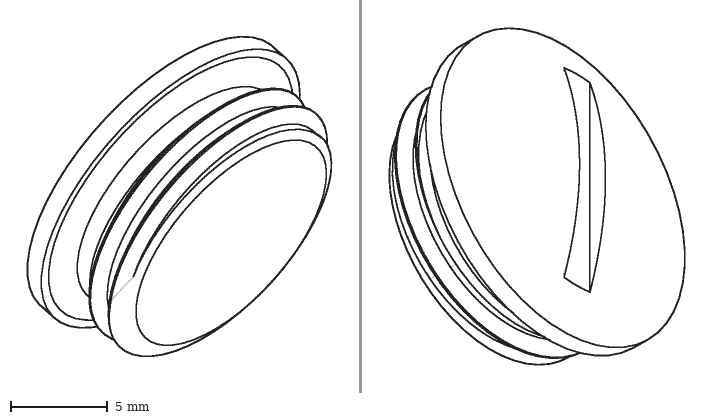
import cadquery as cq
import math


dome_height = 2.18
rim_width = 1.08
neck_length = 1.67
thread_length = 3.0
rim_back = dome_height + rim_width
thread_start = rim_back + neck_length
plug_length = thread_start + thread_length

rim_radius = 8.99
neck_diameter = 13.97
neck_radius = neck_diameter / 2
dome_radius = (rim_radius ** 2 + dome_height ** 2) / (2 * dome_height)

slot_width = 1.9
slot_floor = 1.15

root_radius = 7.12
crest_radius = 7.9
pitch = 1.5
crest_width = 0.1
flank_angle = 30.0
root_overlap = 0.07
helix_start = 3.16
helix_turns = 4
core_seam_angle = -50.0
trim_clearance = 0.36

tip_radius = 6.62
chamfer_length = 0.65

ring_section_radius = 1.15
ring_height = 0.65
ring_center_radius = 7.45


def revolve_about_x(profile):
    """Turn a closed profile, drawn as (x, radius), about the X axis."""
    return profile.close().revolve(360, (0, 0, 0), (1, 0, 0))


def make_head_and_neck():
    """Domed head with its rim, and the plain neck behind it."""
    dome_middle_radius = rim_radius / 2
    dome_middle_x = dome_radius - math.sqrt(dome_radius ** 2 - dome_middle_radius ** 2)
    profile = (
        cq.Workplane("XY")
        .moveTo(0, 0)
        .threePointArc((dome_middle_x, dome_middle_radius), (dome_height, rim_radius))
        .lineTo(rim_back, rim_radius)
        .lineTo(rim_back, neck_radius)
        .lineTo(thread_start, neck_radius)
        .lineTo(thread_start, 0)
    )
    return revolve_about_x(profile)


def make_thread_ridge():
    """Right-handed ridge with a trapezoid section, swept along a helix about X."""
    foot_radius = root_radius - root_overlap
    crest_half = crest_width / 2
    foot_half = crest_half + (crest_radius - foot_radius) * math.tan(math.radians(flank_angle))
    helix = cq.Wire.makeHelix(pitch, pitch * helix_turns, foot_radius)
    ridge = (
        cq.Workplane("XZ")
        .moveTo(foot_radius, -foot_half)
        .lineTo(crest_radius, -crest_half)
        .lineTo(crest_radius, crest_half)
        .lineTo(foot_radius, foot_half)
        .close()
        .sweep(cq.Workplane(obj=helix), isFrenet=True)
    )
    return ridge.rotate((0, 0, 0), (0, 1, 0), 90).translate((helix_start, 0, 0))


def make_thread_envelope():
    """Solid that trims the thread at its start and along the tip chamfer."""
    chamfer_slope = (crest_radius - tip_radius) / chamfer_length
    clear_radius = crest_radius + trim_clearance
    clear_length = chamfer_length + trim_clearance / chamfer_slope
    profile = (
        cq.Workplane("XY")
        .moveTo(thread_start, 0)
        .lineTo(thread_start, clear_radius)
        .lineTo(plug_length - clear_length, clear_radius)
        .lineTo(plug_length, tip_radius)
        .lineTo(plug_length, 0)
    )
    return revolve_about_x(profile)


def make_thread():
    """Threaded length: core and ridge fused, then trimmed at both ends."""
    core_length = pitch * (helix_turns + 2)
    core = (
        cq.Workplane("YZ", origin=(helix_start - pitch, 0, 0))
        .circle(root_radius)
        .extrude(core_length)
        .rotate((0, 0, 0), (1, 0, 0), core_seam_angle)
    )
    return core.union(make_thread_ridge()).intersect(make_thread_envelope())


def make_slot():
    """Straight slot across the dome, running along Z."""
    slot = cq.Workplane("XY").box(
        2 * slot_floor, slot_width, 2 * rim_radius, centered=(False, True, True)
    )
    return slot.translate((-slot_floor, 0, 0))


def make_plug():
    return make_head_and_neck().cut(make_slot()).union(make_thread())


def make_sealing_ring():
    """Ring round the neck against the back of the rim, with a rounded outer shoulder."""
    ring_back = rim_back + ring_height
    center_x = ring_back - ring_section_radius
    end_angle = -math.asin((ring_center_radius - neck_radius) / ring_section_radius)
    start_angle = math.acos((rim_back - center_x) / ring_section_radius)

    def section_point(angle):
        return (
            center_x + ring_section_radius * math.cos(angle),
            ring_center_radius + ring_section_radius * math.sin(angle),
        )

    profile = (
        cq.Workplane("XY")
        .moveTo(rim_back, neck_radius)
        .lineTo(*section_point(start_angle))
        .threePointArc(section_point(0), section_point(end_angle))
    )
    return revolve_about_x(profile)


plug = make_plug()
sealing_ring = make_sealing_ring()

result = cq.Compound.makeCompound([plug.val(), sealing_ring.val()])